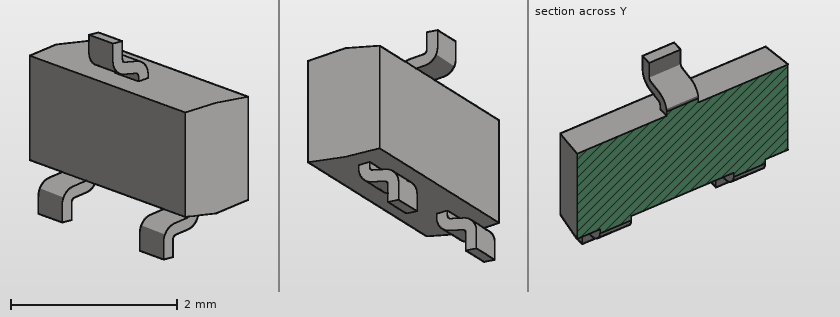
import cadquery as cq
import math

body_length = 3
body_height = 1.4
overall_height = 2.5
overall_depth = 1.1
rear_depth = 0.55
front_depth = 0.45
draft_angle = 5

lead_width = 0.45
lead_thickness = 0.15
lead_pitch = 0.95
foot_length = 0.225
inner_bend_radius = 0.05
slope_angle = 8
root_overlap = 0.09

parting_y = overall_depth / 2 - rear_depth
foot_y = -overall_depth / 2


def body_half(depth):
    """Drafted half of the body, starting at the parting plane; negative depth goes to the rear."""
    plane = cq.Workplane("XZ", origin=(0, parting_y, 0))
    return plane.rect(body_length, body_height).extrude(depth, taper=draft_angle)


def upper_lead():
    """Z-bent strip rising from the body's upper edge, centred on X = 0."""
    slope = math.radians(slope_angle)
    half_turn = (math.pi / 2 - slope) / 2
    outer_bend_radius = inner_bend_radius + lead_thickness
    miter = lead_thickness * math.tan(half_turn)

    root_z = body_height / 2 - root_overlap
    tip_z = overall_height / 2
    foot_outer_z = tip_z - foot_length - outer_bend_radius * math.tan(half_turn)
    foot_inner_z = foot_outer_z + miter
    riser_inner_y = parting_y - lead_thickness
    slope_rise = (riser_inner_y - foot_y) * math.tan(slope)
    riser_inner_z = foot_outer_z - slope_rise
    riser_outer_z = riser_inner_z + miter

    riser_outer = (parting_y, riser_outer_z)
    riser_inner = (riser_inner_y, riser_inner_z)
    foot_outer = (foot_y, foot_outer_z)
    foot_inner = (foot_y + lead_thickness, foot_inner_z)
    outline = [
        (parting_y, root_z),
        riser_outer,
        foot_inner,
        (foot_y + lead_thickness, tip_z),
        (foot_y, tip_z),
        foot_outer,
        riser_inner,
        (riser_inner_y, root_z),
    ]
    strip = cq.Workplane("YZ").polyline(outline).close().extrude(lead_width / 2, both=True)

    bends = (
        (riser_outer, outer_bend_radius),
        (foot_inner, inner_bend_radius),
        (foot_outer, outer_bend_radius),
        (riser_inner, inner_bend_radius),
    )
    for (y, z), radius in bends:
        strip = strip.edges(cq.NearestToPointSelector((0, y, z))).fillet(radius)
    return strip


body = body_half(front_depth).union(body_half(-rear_depth))

centre_lead = upper_lead()
lower_lead = centre_lead.mirror("XY")

result = body.union(centre_lead)
for x in (-lead_pitch, lead_pitch):
    result = result.union(lower_lead.translate((x, 0, 0)))